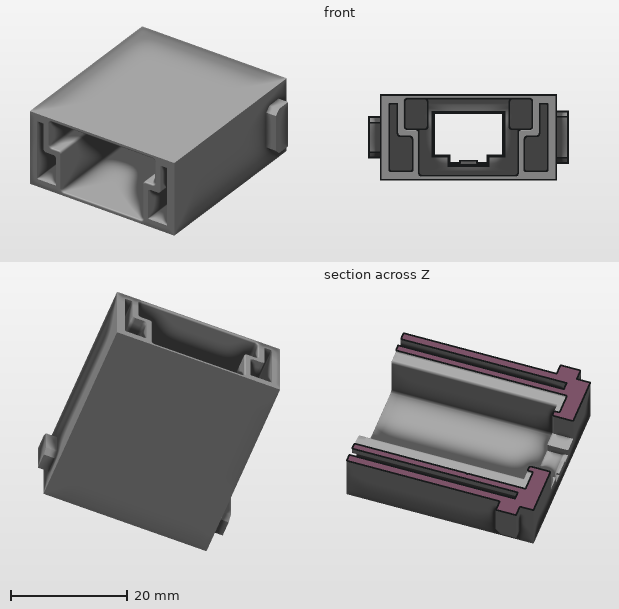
import cadquery as cq

BODY_LENGTH = 34.0
BODY_HEIGHT = 14.6
OVERALL_WIDTH = 34.2
LUG_PROJECTION = 2.02
BODY_WIDTH = OVERALL_WIDTH - 2 * LUG_PROJECTION

CAVITY_DEPTH = 30.1
COVER_THICKNESS = 0.7
CAVITY_TOP = BODY_HEIGHT / 2 - COVER_THICKNESS
CAVITY_HALF_WIDTH = 8.5
EAR_HALF_WIDTH = 10.98
EAR_FLOOR = 1.37
CAVITY_CORNER_RADIUS = 0.5
MOUTH_RADIUS = 0.27

RECESS_WIDTH = 3.97
RECESS_DEPTH = 1.0

POCKET_DEPTH = 30.1
POCKET_MARGIN = 1.5
POCKET_OUTER = BODY_WIDTH / 2 - POCKET_MARGIN
POCKET_TOP = BODY_HEIGHT / 2 - POCKET_MARGIN
POCKET_UPPER_INNER = 12.2
POCKET_LOWER_INNER = 9.6
POCKET_STEP = 0.17
POCKET_STEP_RADIUS = 0.55
POCKET_END_RADIUS = 0.17

WINDOW_HALF_WIDTH = 5.9
WINDOW_TOP = 4.15
WINDOW_BOTTOM = -3.08
NOTCH_HALF_WIDTH = 3.2
NOTCH_BOTTOM = -4.7
WINDOW_CHAMFER = 0.27

LIP_HEIGHT = 0.27
TAB_HEIGHT = 0.7
TAB_WIDTH = 2.95
RAMP_START = BODY_LENGTH - 1.03

LUG_LENGTH = 3.73
LUG_REAR_SETBACK = 2.45
LUG_CHAMFER = 0.95
LEFT_LUG_HEIGHT = 6.98
RIGHT_LUG_HEIGHT = 8.9


def front_plane(y):
    """XZ sketch plane at depth y whose normal points to the rear.

    Its local x runs along -X, which suits the outlines symmetric about X = 0.
    """
    return cq.Workplane(cq.Plane(origin=(0, y, 0), xDir=(-1, 0, 0), normal=(0, 1, 0)))


def both_sides(solid):
    return solid.union(solid.mirror("YZ"))


def make_cavity():
    outline = [
        (-CAVITY_HALF_WIDTH, -CAVITY_TOP),
        (CAVITY_HALF_WIDTH, -CAVITY_TOP),
        (CAVITY_HALF_WIDTH, EAR_FLOOR),
        (EAR_HALF_WIDTH, EAR_FLOOR),
        (EAR_HALF_WIDTH, CAVITY_TOP),
        (-EAR_HALF_WIDTH, CAVITY_TOP),
        (-EAR_HALF_WIDTH, EAR_FLOOR),
        (-CAVITY_HALF_WIDTH, EAR_FLOOR),
    ]
    cavity = front_plane(0).polyline(outline).close().extrude(CAVITY_DEPTH)
    return cavity.edges("|Y").fillet(CAVITY_CORNER_RADIUS)


def make_recesses():
    recess = (
        front_plane(CAVITY_DEPTH)
        .center(EAR_HALF_WIDTH - RECESS_WIDTH / 2, (CAVITY_TOP + EAR_FLOOR) / 2)
        .rect(RECESS_WIDTH, CAVITY_TOP - EAR_FLOOR)
        .extrude(RECESS_DEPTH)
        .edges("|Y")
        .fillet(CAVITY_CORNER_RADIUS)
    )
    return both_sides(recess)


def make_side_pockets():
    step_corners = [(POCKET_UPPER_INNER, POCKET_STEP), (POCKET_LOWER_INNER, POCKET_STEP)]
    top_corners = [(POCKET_OUTER, POCKET_TOP), (POCKET_UPPER_INNER, POCKET_TOP)]
    bottom_corners = [(POCKET_LOWER_INNER, -POCKET_TOP), (POCKET_OUTER, -POCKET_TOP)]
    end_corners = top_corners + bottom_corners
    outline = top_corners + step_corners + bottom_corners
    pocket = front_plane(0).polyline(outline).close().extrude(POCKET_DEPTH)
    for corners, radius in ((step_corners, POCKET_STEP_RADIUS), (end_corners, POCKET_END_RADIUS)):
        for x, z in corners:
            nearest = cq.selectors.NearestToPointSelector((-x, POCKET_DEPTH / 2, z))
            pocket = pocket.edges("|Y").edges(nearest).fillet(radius)
    return both_sides(pocket)


def window_outline(y, margin):
    """Notched window outline at depth y, grown outward by margin."""
    half_width = WINDOW_HALF_WIDTH + margin
    notch_half_width = NOTCH_HALF_WIDTH + margin
    top = WINDOW_TOP + margin
    bottom = WINDOW_BOTTOM - margin
    notch_bottom = NOTCH_BOTTOM - margin
    return front_plane(y).polyline([
        (-half_width, top),
        (-half_width, bottom),
        (-notch_half_width, bottom),
        (-notch_half_width, notch_bottom),
        (notch_half_width, notch_bottom),
        (notch_half_width, bottom),
        (half_width, bottom),
        (half_width, top),
    ]).close()


def make_window():
    opening = window_outline(CAVITY_DEPTH, 0).extrude(BODY_LENGTH - CAVITY_DEPTH)
    chamfer_wires = [
        window_outline(CAVITY_DEPTH, WINDOW_CHAMFER).wire().val(),
        window_outline(CAVITY_DEPTH + WINDOW_CHAMFER, 0).wire().val(),
    ]
    chamfer = cq.Solid.makeLoft(chamfer_wires, True)
    return opening.union(cq.Workplane(chamfer))


def make_ramp(width, height):
    """Ramp rising at 45 degrees from the notch floor, then level to the rear face."""
    return (
        cq.Workplane("YZ")
        .polyline([
            (RAMP_START, NOTCH_BOTTOM),
            (RAMP_START + height, NOTCH_BOTTOM + height),
            (BODY_LENGTH, NOTCH_BOTTOM + height),
            (BODY_LENGTH, NOTCH_BOTTOM),
        ])
        .close()
        .extrude(width / 2, both=True)
    )


def make_lug(side, height):
    """Lug on the side wall (side = -1 left, 1 right), its two front edges chamfered."""
    lug = cq.Workplane("XY").box(LUG_PROJECTION, LUG_LENGTH, height)
    lug = lug.faces("<Y").edges("|X").chamfer(LUG_CHAMFER)
    x = side * (BODY_WIDTH + LUG_PROJECTION) / 2
    y = BODY_LENGTH - LUG_REAR_SETBACK - LUG_LENGTH / 2
    return lug.translate((x, y, 0))


body = cq.Workplane("XY").box(BODY_WIDTH, BODY_LENGTH, BODY_HEIGHT).translate((0, BODY_LENGTH / 2, 0))

body = body.cut(make_cavity())
rim_region = cq.selectors.BoxSelector(
    (-POCKET_OUTER, -MOUTH_RADIUS, -CAVITY_TOP - MOUTH_RADIUS),
    (POCKET_OUTER, MOUTH_RADIUS, CAVITY_TOP + MOUTH_RADIUS),
)
body = body.faces("<Y").edges(rim_region).fillet(MOUTH_RADIUS)

body = body.cut(make_recesses()).cut(make_side_pockets()).cut(make_window())

body = body.union(make_ramp(2 * NOTCH_HALF_WIDTH, LIP_HEIGHT))
body = body.union(make_ramp(TAB_WIDTH, TAB_HEIGHT))

result = body.union(make_lug(-1, LEFT_LUG_HEIGHT)).union(make_lug(1, RIGHT_LUG_HEIGHT))